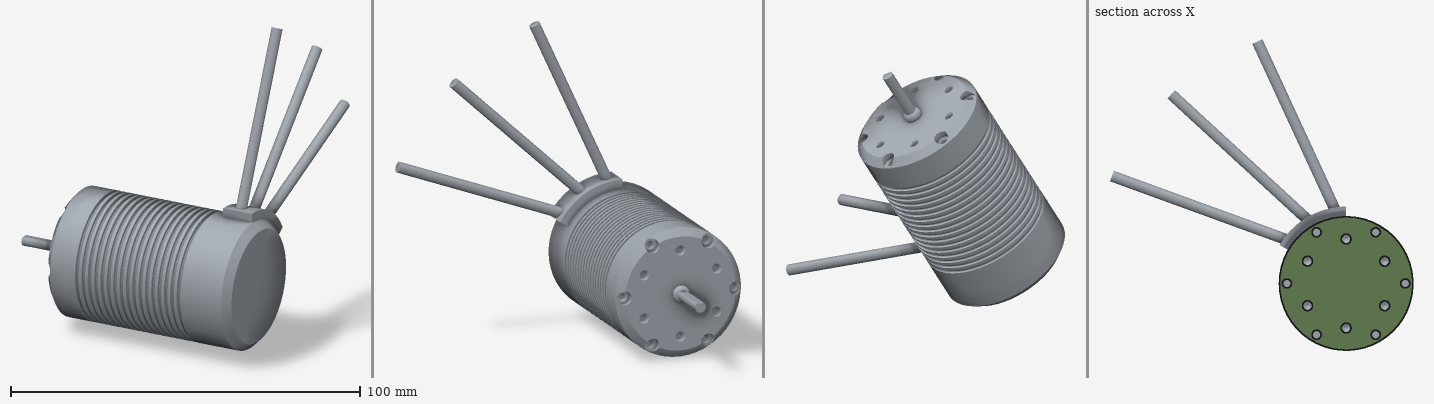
import cadquery as cq
import math

body_radius = 19.2
face_radius = 16.8
body_front_x = 16.6
body_rear_x = 75.8
front_chamfer_length = 2.0
rear_chamfer_length = 2.2
rear_chamfer_x = body_rear_x - rear_chamfer_length

groove_count = 17
groove_start_x = 26.5
groove_pitch = 2.05
groove_width = 1.2
groove_depth = 0.9

shaft_radius = 1.6
shaft_flat_height = 1.2
collar_start_x = 14.35
collar_crest_x = 15.95
collar_crest_radius = 2.6
collar_root_radius = 2.4
collar_arc_middle = (14.9, 2.3)

hole_count = 6
mount_circle_radius = 12.7
mount_thread_radius = 1.5
mount_bore_radius = 1.25
mount_start_angle = 30
screw_circle_radius = 16.9
screw_start_angle = 0
counterbore_radius = 2.05
counterbore_depth = front_chamfer_length
screw_thread_radius = 1.25
screw_bore_radius = 1.0
thread_pitch = 0.45
thread_turns = 10
drill_tip_angle = 118

clamp_outer_radius = 22.0
clamp_inner_radius = body_radius - groove_depth
clamp_length = 9.3
clamp_front_x = rear_chamfer_x - clamp_length
clamp_start_angle = 30
clamp_end_angle = 90

cable_radius = 1.6
cable_x = 68.4
cable_count = 3
cable_first_angle = 20.0
cable_angle_step = 22.6
cable_offset = 6.0
cable_root = 17.8
cable_end = 73.5


def polar(radius, angle):
    """Return the (Y, Z) point at a radius and an angle in degrees from +Y."""
    angle_rad = math.radians(angle)
    return radius * math.cos(angle_rad), radius * math.sin(angle_rad)


def rod(start_x, length, radius):
    """Return a cylinder along X, centred on the body axis."""
    return cq.Workplane("YZ", origin=(start_x, 0, 0)).circle(radius).extrude(length)


def spaced_around_axis(tool, circle_radius, start_angle):
    """Return equally spaced copies of an axial tool on a circle about the X axis."""
    copies = cq.Workplane("YZ")
    for index in range(hole_count):
        y, z = polar(circle_radius, start_angle + index * 360 / hole_count)
        copies = copies.add(tool.translate((0, y, z)))
    return copies.combine()


def make_can():
    """Return the chamfered can with its cooling grooves."""
    can = (
        cq.Workplane("XY")
        .moveTo(body_front_x, 0)
        .lineTo(body_front_x, face_radius)
        .lineTo(body_front_x + front_chamfer_length, body_radius)
        .lineTo(rear_chamfer_x, body_radius)
        .lineTo(body_rear_x, face_radius)
        .lineTo(body_rear_x, 0)
        .close()
        .revolve(360, (0, 0, 0), (1, 0, 0))
    )
    cutter_radius = body_radius + groove_depth
    for index in range(groove_count):
        groove_x = groove_start_x + index * groove_pitch
        ring = rod(groove_x, groove_width, cutter_radius).cut(
            rod(groove_x, groove_width, body_radius - groove_depth)
        )
        can = can.cut(ring)
    return can


def make_shaft():
    """Return the shaft, flattened ahead of the collar, together with the collar."""
    shaft = rod(0, body_front_x, shaft_radius)
    flat_cut = cq.Workplane("XY", origin=(0, 0, shaft_flat_height)).box(
        collar_start_x, 2 * shaft_radius, shaft_radius, centered=(False, True, False)
    )
    collar = (
        cq.Workplane("XY")
        .moveTo(collar_start_x, 0)
        .lineTo(collar_start_x, shaft_radius)
        .threePointArc(collar_arc_middle, (collar_crest_x, collar_crest_radius))
        .lineTo(body_front_x, collar_root_radius)
        .lineTo(body_front_x, 0)
        .close()
        .revolve(360, (0, 0, 0), (1, 0, 0))
    )
    return shaft.cut(flat_cut).union(collar)


def make_threaded_hole(start_x, thread_radius, bore_radius, tip_length):
    """Return a hole tool on the axis with V-shaped thread rings, ending in a cone or flat."""
    profile = cq.Workplane("XY").moveTo(start_x, 0).lineTo(start_x, thread_radius)
    for turn in range(thread_turns):
        crest_x = start_x + (turn + 0.5) * thread_pitch
        root_x = start_x + (turn + 1) * thread_pitch
        profile = profile.lineTo(crest_x, bore_radius).lineTo(root_x, thread_radius)
    end_x = start_x + (thread_turns + 0.5) * thread_pitch
    profile = profile.lineTo(end_x, bore_radius).lineTo(end_x + tip_length, 0).close()
    return profile.revolve(360, (0, 0, 0), (1, 0, 0))


def make_face_holes():
    """Return the tools for the drilled mounting holes and the counterbored screw holes."""
    tip_length = mount_bore_radius / math.tan(math.radians(drill_tip_angle / 2))
    mount_hole = make_threaded_hole(body_front_x, mount_thread_radius, mount_bore_radius, tip_length)
    counterbore = rod(body_front_x, counterbore_depth, counterbore_radius)
    counterbore_floor_x = body_front_x + counterbore_depth
    screw_hole = make_threaded_hole(counterbore_floor_x, screw_thread_radius, screw_bore_radius, 0)
    mount_holes = spaced_around_axis(mount_hole, mount_circle_radius, mount_start_angle)
    screw_hole = screw_hole.union(counterbore)
    screw_holes = spaced_around_axis(screw_hole, screw_circle_radius, screw_start_angle)
    return mount_holes.union(screw_holes)


def make_clamp():
    """Return the ring sector that carries the cables."""
    middle_angle = (clamp_start_angle + clamp_end_angle) / 2
    return (
        cq.Workplane("YZ", origin=(clamp_front_x, 0, 0))
        .moveTo(*polar(clamp_inner_radius, clamp_start_angle))
        .lineTo(*polar(clamp_outer_radius, clamp_start_angle))
        .threePointArc(
            polar(clamp_outer_radius, middle_angle),
            polar(clamp_outer_radius, clamp_end_angle),
        )
        .lineTo(*polar(clamp_inner_radius, clamp_end_angle))
        .threePointArc(
            polar(clamp_inner_radius, middle_angle),
            polar(clamp_inner_radius, clamp_start_angle),
        )
        .close()
        .extrude(clamp_length)
    )


def make_cable(angle):
    """Return one cable pointing at an angle from +Y towards +Z."""
    cable = (
        cq.Workplane("XZ", origin=(cable_x, cable_root, cable_offset))
        .circle(cable_radius)
        .extrude(cable_root - cable_end)
    )
    return cable.rotate((0, 0, 0), (1, 0, 0), angle)


result = make_can().union(make_shaft()).cut(make_face_holes()).union(make_clamp())
for cable_index in range(cable_count):
    result = result.union(make_cable(cable_first_angle + cable_index * cable_angle_step))